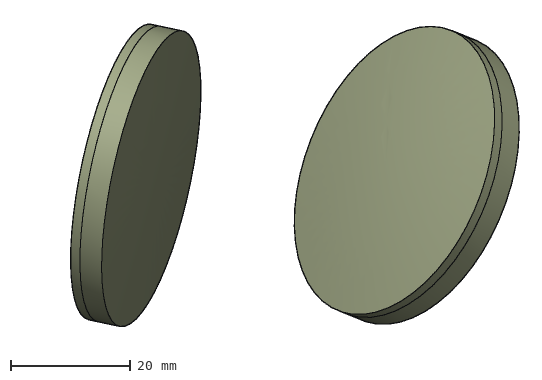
import cadquery as cq

diameter = 50.8
total_thickness = 8.0
front_sag = 1.95
front_rim_width = 1.7
rear_rim_width = 3.85

radius = diameter / 2
rear_sag = total_thickness - front_sag - front_rim_width - rear_rim_width

front_apex_x = -total_thickness / 2
front_rim_x = front_apex_x + front_sag
seam_x = front_rim_x + front_rim_width
rear_rim_x = seam_x + rear_rim_width


def lens_element(flat_x, rim_x, sag):
    """Revolve a plano-convex lens; the signed sag points its dome along X."""
    sphere_radius = (radius**2 + sag**2) / (2 * abs(sag))
    mid_height = radius / 2
    mid_depth = sphere_radius - (sphere_radius**2 - mid_height**2) ** 0.5
    apex_x = rim_x + sag
    mid_x = apex_x - mid_depth * sag / abs(sag)
    return (
        cq.Workplane("XZ")
        .moveTo(flat_x, 0)
        .lineTo(flat_x, radius)
        .lineTo(rim_x, radius)
        .threePointArc((mid_x, mid_height), (apex_x, 0))
        .close()
        .revolve(360, (0, 0, 0), (1, 0, 0))
    )


front_element = lens_element(seam_x, front_rim_x, -front_sag)
rear_element = lens_element(seam_x, rear_rim_x, rear_sag)

result = cq.Compound.makeCompound([front_element.val(), rear_element.val()])